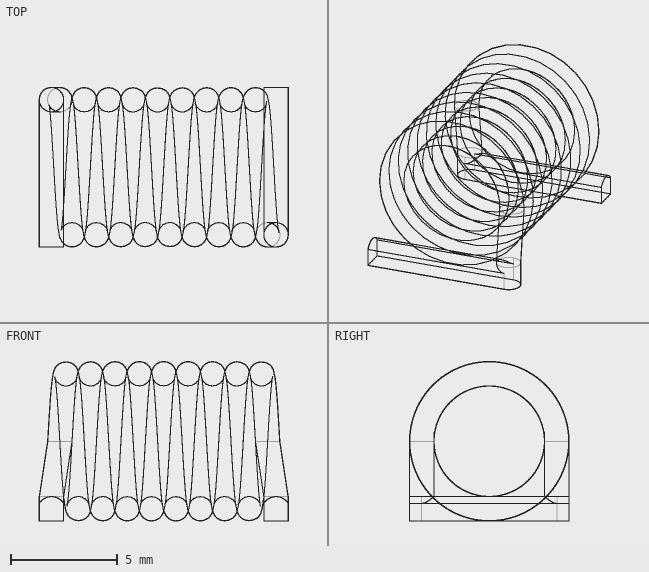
import cadquery as cq

overall_length = 11.69
overall_width = 7.49
wire_diameter = 1.15
turn_gap = 0.002
turns = 8.5
foot_side_height = 0.83

wire_radius = wire_diameter / 2
outer_radius = overall_width / 2
coil_radius = outer_radius - wire_radius
pitch = wire_diameter + turn_gap
coil_length = pitch * turns
coil_end_x = coil_length / 2
foot_x = overall_length / 2 - wire_radius
foot_bottom_z = -outer_radius
foot_top_z = foot_bottom_z + wire_diameter


def make_coil():
    """Right-handed helix starting at +Y on the left and ending at -Y on the right."""
    path = cq.Wire.makeHelix(pitch, coil_length, coil_radius)
    path = path.rotate(cq.Vector(), cq.Vector(0, 1, 0), 90)
    path = path.rotate(cq.Vector(), cq.Vector(1, 0, 0), 90)
    path = path.translate(cq.Vector(-coil_end_x, 0, 0))
    section = cq.Workplane("XY").center(-coil_end_x, coil_radius).circle(wire_radius)
    return section.sweep(cq.Workplane(obj=path), isFrenet=True)


def make_leg():
    """Slanted leg from the left coil end down to foot height, then straight down."""
    slant = (
        cq.Workplane("XY", origin=(-coil_end_x, coil_radius, 0))
        .circle(wire_radius)
        .workplane(offset=foot_top_z)
        .center(coil_end_x - foot_x, 0)
        .circle(wire_radius)
        .loft(ruled=True)
    )
    post = (
        cq.Workplane("XY", origin=(-foot_x, coil_radius, foot_bottom_z))
        .circle(wire_radius)
        .extrude(wire_diameter)
    )
    return slant.union(post)


def make_foot():
    """Flat-bottomed bar with an arched top, running from the leg to the -Y side."""
    shoulder_z = foot_bottom_z + foot_side_height
    return (
        cq.Workplane("XZ", origin=(-foot_x, coil_radius, 0))
        .moveTo(-wire_radius, foot_bottom_z)
        .lineTo(wire_radius, foot_bottom_z)
        .lineTo(wire_radius, shoulder_z)
        .threePointArc((0, foot_top_z), (-wire_radius, shoulder_z))
        .close()
        .extrude(coil_radius + outer_radius)
    )


left_end = make_leg().union(make_foot())
right_end = left_end.rotate((0, 0, 0), (0, 0, 1), 180)
result = make_coil().union(left_end).union(right_end)